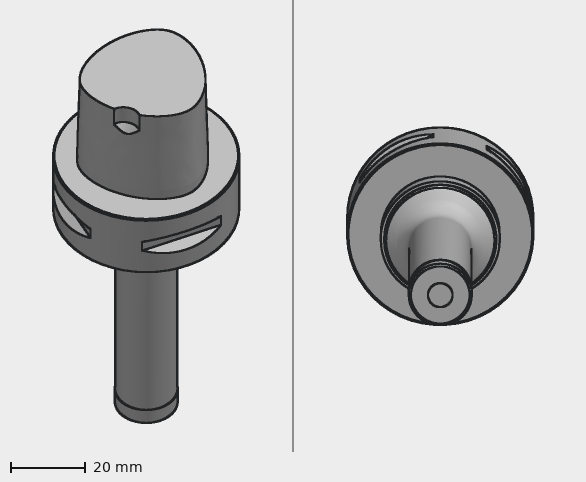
import cadquery as cq
import math

total_length = 122.0
flange_top = 92.0
flange_bottom = 72.2
collar_bottom = 66.4
taper_start = 95.2
shank_top = 56.2
band_top = 5.7
tip_boss_height = 0.4

flange_diameter = 50.0
flange_chamfer = 0.4
collar_diameter = 32.0

lobe_radius = 17.6
lobe_height = 1.16
lobe_count = 3
lobe_direction = 90.0
outline_points = 36
taper_ratio = 0.025

notch_radius = 4.6
notch_depth_from_top = 5.5
notch_inner_reach = 13.8

groove_count = 4
groove_floor_distance = 22.1
groove_floor_width = 3.2
groove_mouth_width = 6.8
groove_center_height = 82.1

seat_diameter = 30.1
seat_bottom = 65.9
head_diameter = 29.0
head_bottom = 65.0
head_edge_height = 1.0
head_edge_inset = 0.5
shank_diameter = 16.7
flare_radius = 7.6
flare_angle = 55.0
band_diameter = 17.0
band_chamfer = 0.6
tip_boss_diameter = 6.6


def polygon_outline(height, mean_radius):
    """Closed constant-width outline with rounded lobes at the given height."""
    points = []
    for i in range(outline_points):
        angle = 2 * math.pi * i / outline_points
        phase = lobe_count * (angle - math.radians(lobe_direction))
        support = mean_radius + lobe_height * math.cos(phase)
        slope = -lobe_count * lobe_height * math.sin(phase)
        x = support * math.cos(angle) - slope * math.sin(angle)
        y = support * math.sin(angle) + slope * math.cos(angle)
        points.append(cq.Vector(x, y, height))
    edge = cq.Edge.makeSpline(points, periodic=True)
    return cq.Wire.assembleEdges([edge])


def make_polygon_shank():
    """Straight polygon foot with the slightly tapered polygon above it."""
    top_radius = lobe_radius - taper_ratio * (total_length - taper_start)
    foot = cq.Solid.makeLoft([
        polygon_outline(flange_top, lobe_radius),
        polygon_outline(taper_start, lobe_radius),
    ])
    taper = cq.Solid.makeLoft([
        polygon_outline(taper_start, lobe_radius),
        polygon_outline(total_length, top_radius),
    ])
    return cq.Workplane(foot).union(cq.Workplane(taper))


def make_notch():
    """Vertical round cutter with a 45-degree point."""
    shoulder = total_length - notch_depth_from_top
    return (
        cq.Workplane("XZ")
        .moveTo(0, total_length)
        .lineTo(notch_radius, total_length)
        .lineTo(notch_radius, shoulder)
        .lineTo(0, shoulder - notch_radius)
        .close()
        .revolve(360, (0, 0, 0), (0, 1, 0))
        .translate((0, -notch_inner_reach - notch_radius, 0))
    )


def make_groove(angle):
    """Straight cutter with a flat floor and flared sides, turned about Z."""
    mouth_distance = flange_diameter / 2
    return (
        cq.Workplane("XZ")
        .moveTo(groove_floor_distance, groove_center_height - groove_floor_width / 2)
        .lineTo(mouth_distance, groove_center_height - groove_mouth_width / 2)
        .lineTo(mouth_distance, groove_center_height + groove_mouth_width / 2)
        .lineTo(groove_floor_distance, groove_center_height + groove_floor_width / 2)
        .close()
        .extrude(flange_diameter / 2, both=True)
        .rotate((0, 0, 0), (0, 0, 1), angle)
    )


def make_holder():
    """Polygon shank, grooved flange and collar as one solid."""
    flange = (
        cq.Workplane("XY")
        .workplane(offset=flange_bottom)
        .circle(flange_diameter / 2)
        .extrude(flange_top - flange_bottom)
        .edges()
        .chamfer(flange_chamfer)
    )
    collar = (
        cq.Workplane("XY")
        .workplane(offset=collar_bottom)
        .circle(collar_diameter / 2)
        .extrude(flange_bottom - collar_bottom)
    )
    holder = flange.union(collar).union(make_polygon_shank()).cut(make_notch())
    groove_step = 360 / groove_count
    for i in range(groove_count):
        holder = holder.cut(make_groove((i + 0.5) * groove_step))
    return holder


def make_arbor():
    """Turned arbor with a flared head, a long shank and a banded tip."""
    shank_radius = shank_diameter / 2
    band_radius = band_diameter / 2
    head_radius = head_diameter / 2

    def flare_point(degrees):
        angle = math.radians(degrees)
        radius = shank_radius + flare_radius * (1 - math.cos(angle))
        return (radius, shank_top + flare_radius * math.sin(angle))

    return (
        cq.Workplane("XZ")
        .moveTo(0, 0)
        .lineTo(tip_boss_diameter / 2, 0)
        .lineTo(tip_boss_diameter / 2, tip_boss_height)
        .lineTo(band_radius - band_chamfer, tip_boss_height)
        .lineTo(band_radius, tip_boss_height + band_chamfer)
        .lineTo(band_radius, band_top)
        .lineTo(shank_radius, band_top)
        .lineTo(shank_radius, shank_top)
        .threePointArc(flare_point(flare_angle / 2), flare_point(flare_angle))
        .lineTo(head_radius - head_edge_inset, head_bottom - head_edge_height)
        .tangentArcPoint((head_radius, head_bottom), relative=False)
        .lineTo(seat_diameter / 2, seat_bottom)
        .lineTo(seat_diameter / 2, collar_bottom)
        .lineTo(0, collar_bottom)
        .close()
        .revolve(360, (0, 0, 0), (0, 1, 0))
    )


holder = make_holder()
arbor = make_arbor()
result = cq.Compound.makeCompound([holder.solids().val(), arbor.val()])